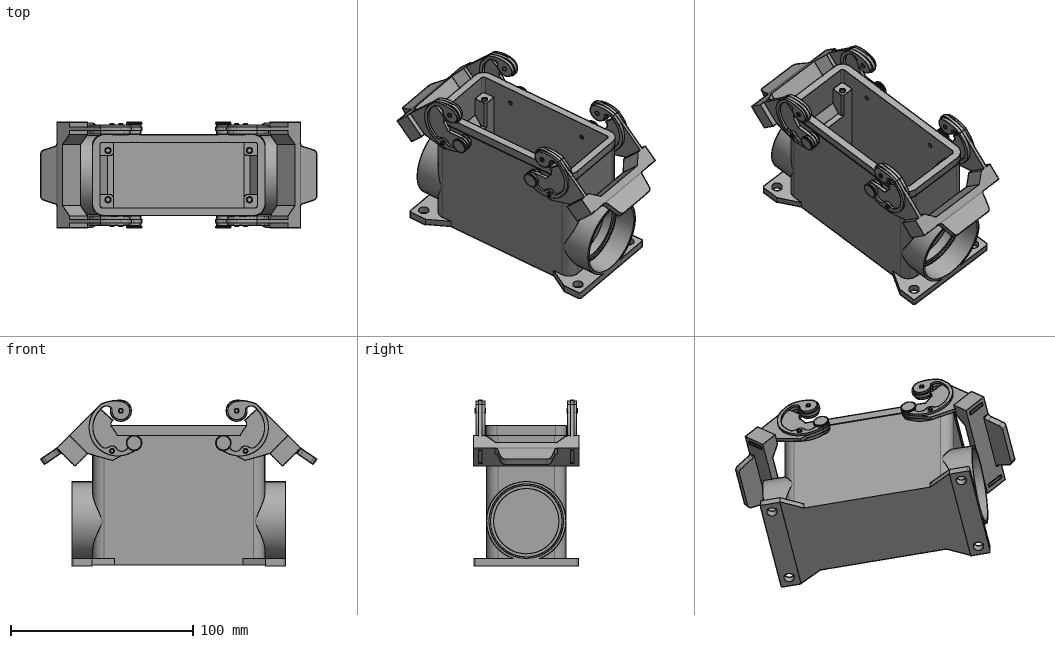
import cadquery as cq
import math

BODY_X, BODY_Y = 94.4, 43.6
LIP_X, LIP_Y = 94.8, 44.4
BODY_CORNER_R = 6.2
BODY_BOTTOM, LIP_BOTTOM, BODY_TOP = 0.45, 71.7, 77.1

CAVITY_X, CAVITY_Y = 86.4, 36.0
CAVITY_CORNER_R = 1.5
FLOOR_TOP = 4.2
WELL_X = 71.6
LEDGE_Z = 49.0
RAMP_FOOT_X = 39.1
RAMP_TOP_Z = 54.5
BOSS_SIZE, BOSS_TOP = 7.3, 66.0
BOSS_CORNER_CUT = 1.2
SCREW_X, SCREW_Y = 38.8, 13.5
SCREW_HOLE_D, SCREW_HOLE_DEPTH = 2.6, 12.0
SCREW_COUNTERSINK = 0.4

PORT_END_X, PORT_Z, PORT_R = 58.6, 24.6, 21.7
PORT_BORE_R, PORT_BORE_DEPTH = 20.4, 12.0
PORT_STEP_R, PORT_STEP_DEPTH = 19.6, 13.0
KNOCKOUT_R, KNOCKOUT_DEPTH = 17.9, 18.3

FLANGE_Y, FLANGE_TOP = 57.4, 4.2
FLANGE_SHOULDER_X, FLANGE_INNER_X = 47.5, 35.3
FLANGE_CORNER_R = 1.0
MOUNT_X, MOUNT_Y, MOUNT_D = 53.0, 23.1, 5.6

COVER_IN, CORE_IN, CORE_OUT, COVER_OUT = 22.5, 24.4, 26.3, 27.6
RIVET_OUT, LATCH_HALF_Y = 28.2, 29.0
HUB = (-33.5, 76.0)
HUB_OUTER_R, HUB_INNER_R = 15.65, 13.6
HOOK = (-31.75, 85.15)
HOOK_CORE_R, HOOK_COVER_R = 5.79, 4.9
PIVOT = (-24.45, 67.5)
PIVOT_R, PIVOT_COVER_R = 4.2, 3.7
PIVOT_HEAD_IN, PIVOT_HEAD_CHAMFER = 28.1, 0.3
PIVOT_NECK_R, PIVOT_NECK_OVERLAP = 3.0, 0.2
PIVOT_BORE_R, PIVOT_BORE_DEPTH = 1.2, 1.0
STOP_RIVET = (-36.6, 63.1)
RIVET_R, RIVET_CHAMFER = 1.3, 0.35
RIVET_INNER_END = 0.2

HANDLE_CORNER = (-59.9, 71.6)
HANDLE_DEPTH, HANDLE_HEIGHT = 9.8, 14.0
RELIEF_DEPTH = 5.5
RELIEF_HALF_TOP, RELIEF_HALF_FLOOR = 22.4, 16.7
SLOT_INSET, SLOT_HEIGHT, SLOT_DEPTH = 1.9, 9.9, 0.5

TAB_TIP_X, TAB_ANGLE, TAB_THICKNESS = 75.745, 34.0, 3.6
TAB_HALF_ROOT, TAB_HALF_NECK, TAB_HALF_TIP = 17.2, 15.6, 13.2
TAB_NECK = 2.0
TAB_FLARE_MID = (0.6, 16.1)
TAB_CORNER_R = 2.5


def box(x0, x1, y0, y1, z0, z1):
    return cq.Workplane("XY").box(x1 - x0, y1 - y0, z1 - z0, centered=False).translate((x0, y0, z0))


def rounded_block(size_x, size_y, radius, z0, z1):
    block = cq.Workplane("XY", origin=(0, 0, z0)).rect(size_x, size_y).extrude(z1 - z0)
    return block.edges("|Z").fillet(radius)


def polar(centre, radius, degrees):
    angle = math.radians(degrees)
    return (centre[0] + radius * math.cos(angle), centre[1] + radius * math.sin(angle))


def layer(y_in):
    """XZ workplane on the -Y side, extruding away from the body."""
    return cq.Workplane("XZ", origin=(0, -y_in, 0))


def make_disc(centre, radius, y_in, y_out):
    return layer(y_in).center(*centre).circle(radius).extrude(y_out - y_in)


def both_ends(half):
    return half.union(half.mirror("YZ"))


def both_sides(half):
    return half.union(half.mirror("XZ"))


def make_port():
    return cq.Workplane("YZ", origin=(-PORT_END_X, 0, PORT_Z)).circle(PORT_R).extrude(
        PORT_END_X - WELL_X / 2)


def make_port_bore():
    face = cq.Workplane("YZ", origin=(-PORT_END_X, 0, PORT_Z))
    bore = face.circle(PORT_BORE_R).extrude(PORT_BORE_DEPTH)
    bore = bore.union(face.circle(PORT_STEP_R).extrude(PORT_STEP_DEPTH))
    return bore.union(face.circle(KNOCKOUT_R).extrude(KNOCKOUT_DEPTH))


def make_flange():
    half_y = FLANGE_Y / 2
    outline = [
        (-PORT_END_X, -half_y), (-FLANGE_SHOULDER_X, -half_y), (-FLANGE_INNER_X, -BODY_Y / 2),
        (-FLANGE_INNER_X, BODY_Y / 2), (-FLANGE_SHOULDER_X, half_y), (-PORT_END_X, half_y),
    ]
    flange = cq.Workplane("XY").polyline(outline).close().extrude(FLANGE_TOP)
    flange = flange.edges("|Z and <X").fillet(FLANGE_CORNER_R)
    underside = box(-FLANGE_SHOULDER_X, 0, -half_y, half_y, 0, BODY_BOTTOM)
    holes = cq.Workplane("XY").pushPoints([(-MOUNT_X, -MOUNT_Y), (-MOUNT_X, MOUNT_Y)])
    return flange.cut(underside).cut(holes.circle(MOUNT_D / 2).extrude(FLANGE_TOP))


def make_cavity():
    cavity = rounded_block(CAVITY_X, CAVITY_Y, CAVITY_CORNER_R, FLOOR_TOP, BODY_TOP)
    end_x = CAVITY_X / 2
    end_wall = [
        (-end_x, FLOOR_TOP), (-WELL_X / 2, FLOOR_TOP), (-WELL_X / 2, LEDGE_Z),
        (-RAMP_FOOT_X, LEDGE_Z), (-end_x, RAMP_TOP_Z),
    ]
    wall = layer(-CAVITY_Y / 2).polyline(end_wall).close().extrude(CAVITY_Y)
    return cavity.cut(both_ends(wall.union(make_boss_pair())))


def make_boss_pair():
    boss = box(-CAVITY_X / 2, -WELL_X / 2, -CAVITY_Y / 2, BOSS_SIZE - CAVITY_Y / 2, FLOOR_TOP, BOSS_TOP)
    boss = boss.edges("|Z and >X and >Y").chamfer(BOSS_CORNER_CUT)
    hole = cq.Workplane("XY", origin=(-SCREW_X, -SCREW_Y, BOSS_TOP - SCREW_HOLE_DEPTH))
    boss = boss.cut(hole.circle(SCREW_HOLE_D / 2).extrude(SCREW_HOLE_DEPTH))
    boss = boss.faces(">Z").edges("%CIRCLE").chamfer(SCREW_COUNTERSINK)
    return both_sides(boss)


def make_housing():
    body = rounded_block(BODY_X, BODY_Y, BODY_CORNER_R, BODY_BOTTOM, LIP_BOTTOM)
    lip = rounded_block(LIP_X, LIP_Y, BODY_CORNER_R, LIP_BOTTOM, BODY_TOP)
    housing = body.union(lip).union(both_ends(make_port().union(make_flange())))
    pivot_bore = make_disc(PIVOT, PIVOT_BORE_R, CAVITY_Y / 2, CAVITY_Y / 2 + PIVOT_BORE_DEPTH)
    bores = both_ends(make_port_bore().union(both_sides(pivot_bore)))
    return housing.cut(make_cavity()).cut(bores)


def handle_point(inward, down):
    """Point of the handle section: distance along its depth and along its height."""
    diagonal = math.sqrt(0.5)
    return (HANDLE_CORNER[0] + (down - inward) * diagonal,
            HANDLE_CORNER[1] - (down + inward) * diagonal)


EDGE_TANGENT = (-42.8, 88.7)
HOOK_CREST = (-38.1, 90.29)
CLAW_EDGE = [(-36.1, 79.9), (-37.1, 78.9), (-37.1, 76.9), (-33.6, LIP_BOTTOM)]
CORE_HEEL = (-36.4, 57.9)
COVER_WAVE = [(-38.7, 64.9), (-36.4, 65.9), (-34.2, 64.6), (-31.2, 62.9)]
HOOK_THROAT = [(-37.1, 86.7), (-40.0, 87.7), (-42.8, 86.0)]
PIVOT_FOOT = polar(PIVOT, PIVOT_R, -80)


def make_arm_core():
    outline = (
        layer(CORE_IN)
        .moveTo(*HANDLE_CORNER)
        .lineTo(*EDGE_TANGENT)
        .threePointArc(HOOK_CREST, polar(HOOK, HOOK_CORE_R, 90))
        .threePointArc(polar(HOOK, HOOK_CORE_R, -40), polar(HOOK, HOOK_CORE_R, 170))
        .lineTo(*HOOK_THROAT[0])
        .threePointArc(HOOK_THROAT[1], HOOK_THROAT[2])
        .lineTo(*CLAW_EDGE[0])
        .lineTo(*CLAW_EDGE[1])
        .lineTo(*CLAW_EDGE[2])
        .lineTo(*CLAW_EDGE[3])
        .lineTo(PIVOT[0], PIVOT[1] + PIVOT_R)
        .threePointArc(polar(PIVOT, PIVOT_R, 0), PIVOT_FOOT)
        .threePointArc(polar(HUB, HUB_OUTER_R, -68), polar(HUB, HUB_OUTER_R, -83))
        .lineTo(*CORE_HEEL)
        .lineTo(*handle_point(0, HANDLE_HEIGHT))
        .close()
    )
    return outline.extrude(CORE_OUT - CORE_IN)


def make_arm_cover(y_in, y_out):
    outline = (
        layer(y_in)
        .moveTo(*polar(HUB, HUB_OUTER_R, 148))
        .lineTo(*EDGE_TANGENT)
        .threePointArc(HOOK_CREST, polar(HOOK, HOOK_COVER_R, 70))
        .threePointArc(polar(HOOK, HOOK_COVER_R, -40), polar(HOOK, HOOK_COVER_R, 170))
        .lineTo(*HOOK_THROAT[0])
        .threePointArc(HOOK_THROAT[1], polar(HUB, HUB_INNER_R, 132))
        .threePointArc(polar(HUB, HUB_INNER_R, 180), polar(HUB, HUB_INNER_R, 236))
        .lineTo(*COVER_WAVE[0])
        .threePointArc(COVER_WAVE[1], COVER_WAVE[2])
        .threePointArc(COVER_WAVE[3], polar(PIVOT, PIVOT_COVER_R, 206))
        .threePointArc(polar(PIVOT, PIVOT_COVER_R, 60), polar(PIVOT, PIVOT_COVER_R, -80))
        .lineTo(*polar(HUB, HUB_OUTER_R, -58))
        .threePointArc(polar(HUB, HUB_OUTER_R, 225), polar(HUB, HUB_OUTER_R, 148))
        .close()
    )
    return outline.extrude(y_out - y_in)


def make_rivet(centre):
    rivet = make_disc(centre, RIVET_R, CORE_OUT, RIVET_OUT)
    return rivet.faces("<Y").chamfer(RIVET_CHAMFER)


def make_pivot():
    neck = make_disc(PIVOT, PIVOT_NECK_R, BODY_Y / 2 - PIVOT_NECK_OVERLAP, PIVOT_HEAD_IN)
    head = make_disc(PIVOT, PIVOT_R, PIVOT_HEAD_IN, LATCH_HALF_Y)
    return neck.union(head.faces("<Y").chamfer(PIVOT_HEAD_CHAMFER))


def make_arm():
    arm = make_arm_core()
    arm = arm.union(make_arm_cover(COVER_IN, CORE_IN))
    arm = arm.union(make_arm_cover(CORE_OUT, COVER_OUT))
    arm = arm.union(make_pivot())
    arm = arm.union(make_disc(HOOK, RIVET_R, COVER_IN - RIVET_INNER_END, CORE_IN))
    for centre in (HOOK, STOP_RIVET):
        arm = arm.union(make_rivet(centre))
    return arm


def make_handle():
    section = [handle_point(0, 0), handle_point(0, HANDLE_HEIGHT),
               handle_point(HANDLE_DEPTH, HANDLE_HEIGHT), handle_point(HANDLE_DEPTH, 0)]
    bar = layer(-LATCH_HALF_Y).polyline(section).close().extrude(2 * LATCH_HALF_Y)

    corner = (HANDLE_CORNER[0], 0, HANDLE_CORNER[1])
    across = cq.Plane(origin=corner, xDir=(0, 1, 0), normal=(1, 0, -1))
    relief = (
        cq.Workplane(across)
        .polyline([(-RELIEF_HALF_TOP, 0), (RELIEF_HALF_TOP, 0),
                   (RELIEF_HALF_FLOOR, -RELIEF_DEPTH), (-RELIEF_HALF_FLOOR, -RELIEF_DEPTH)])
        .close()
        .extrude(HANDLE_HEIGHT)
    )
    slot_section = [handle_point(inward, down) for inward, down in (
        (HANDLE_DEPTH - SLOT_DEPTH, SLOT_INSET), (HANDLE_DEPTH, SLOT_INSET),
        (HANDLE_DEPTH, SLOT_INSET + SLOT_HEIGHT), (HANDLE_DEPTH - SLOT_DEPTH, SLOT_INSET + SLOT_HEIGHT))]
    slot = layer(CORE_IN).polyline(slot_section).close().extrude(CORE_OUT - CORE_IN)
    return bar.cut(relief).cut(both_sides(slot))


def make_tab():
    root_x, root_z = handle_point(HANDLE_DEPTH, 0)
    slope = math.radians(TAB_ANGLE)
    length = (TAB_TIP_X + root_x) / math.cos(slope)
    root = cq.Plane(origin=(root_x, 0, root_z), xDir=(-math.cos(slope), 0, -math.sin(slope)),
                    normal=(math.sin(slope), 0, -math.cos(slope)))
    overlap = TAB_THICKNESS
    outline = (
        cq.Workplane(root)
        .moveTo(-overlap, TAB_HALF_ROOT)
        .lineTo(0, TAB_HALF_ROOT)
        .threePointArc(TAB_FLARE_MID, (TAB_NECK, TAB_HALF_NECK))
        .lineTo(length, TAB_HALF_TIP)
        .lineTo(length, -TAB_HALF_TIP)
        .lineTo(TAB_NECK, -TAB_HALF_NECK)
        .threePointArc((TAB_FLARE_MID[0], -TAB_FLARE_MID[1]), (0, -TAB_HALF_ROOT))
        .lineTo(-overlap, -TAB_HALF_ROOT)
        .close()
    )
    tab = outline.extrude(TAB_THICKNESS)
    tip_face = cq.selectors.DirectionMinMaxSelector(root.xDir)
    return tab.faces(tip_face).edges("not |Y").fillet(TAB_CORNER_R)


def make_latch():
    return make_handle().union(make_tab()).union(both_sides(make_arm()))


result = make_housing().union(both_ends(make_latch()))